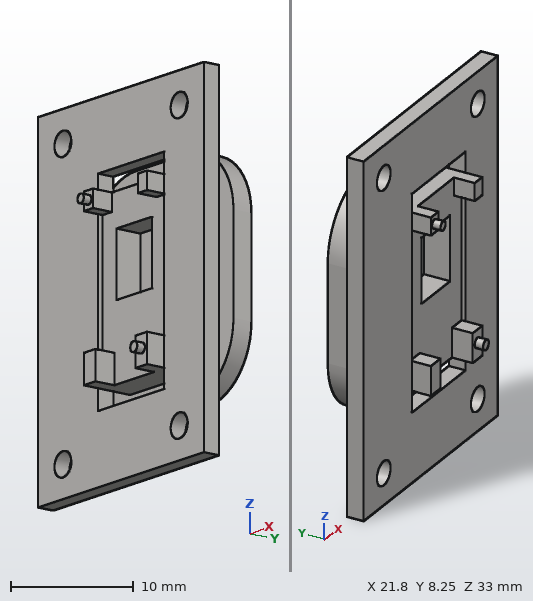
import cadquery as cq
import math

plate_width = 21.8
plate_height = 33.02
plate_thickness = 1.6
window_width = 8.65
window_height = 20.08
window_x = 1.32
hole_diameter = 2.2
hole_spacing_x = 15.25
hole_spacing_z = 27.1

switch_x = 1.35
block_width = 8.32
block_height = 16.38
block_front_y = 0.3
bezel_front_y = 3.17
bezel_thickness = 1.88
bezel_width = 18.82
bezel_height = 21.2
bezel_corner_radius = 6.0
bezel_back_y = bezel_front_y + bezel_thickness

pocket_width = 4.62
pocket_height = 6.05
pocket_z = 1.98
pocket_depth = 2.48

leg_front_y = -1.65
upper_leg_width = 1.22
upper_leg_height = 1.65
lower_leg_width = 1.55
lower_leg_height = 2.75
pin_length = 0.8
upper_pin_diameter = 0.83
upper_pin_inset = 0.6
upper_pin_drop = 0.83
lower_pin_diameter = 0.92
lower_pin_inset = 0.75
lower_pin_rise = 1.52

ridge_width = 3.95
ridge_base_height = 1.4
ridge_tip_height = 0.63
ridge_depth = 0.75
ridge_z = -3.6
dome_diameter = 1.2
dome_rise = 0.23


def box_between(width, height, front_y, back_y, x=0, z=0):
    """Box centred on x and z that spans front_y to back_y."""
    depth = back_y - front_y
    return cq.Workplane("XY").box(width, depth, height).translate((x, front_y + depth / 2, z))


def rod_between(diameter, front_y, back_y, x, z):
    """Round rod along Y that spans front_y to back_y."""
    start = cq.Vector(x, front_y, z)
    rod = cq.Solid.makeCylinder(diameter / 2, back_y - front_y, start, cq.Vector(0, 1, 0))
    return cq.Workplane(obj=rod)


def make_plate():
    """Flat plate with a window for the switch and four mounting holes."""
    plate = box_between(plate_width, plate_height, 0, plate_thickness)
    plate = plate.cut(box_between(window_width, window_height, 0, plate_thickness, x=window_x))
    for side_x in (-1, 1):
        for side_z in (-1, 1):
            hole_x = side_x * hole_spacing_x / 2
            hole_z = side_z * hole_spacing_z / 2
            plate = plate.cut(rod_between(hole_diameter, 0, plate_thickness, hole_x, hole_z))
    return plate


def make_bezel():
    """Plate with broadly rounded corners behind the block."""
    bezel = box_between(bezel_width, bezel_height, bezel_front_y, bezel_back_y, x=switch_x)
    return bezel.edges("|Y").fillet(bezel_corner_radius)


def make_block():
    """Block that passes through the window, with a pocket in its front."""
    block = box_between(block_width, block_height, block_front_y, bezel_front_y, x=switch_x)
    pocket_floor_y = block_front_y + pocket_depth
    return block.cut(
        box_between(pocket_width, pocket_height, block_front_y, pocket_floor_y, x=switch_x, z=pocket_z)
    )


def make_leg(side_x, side_z, width, height):
    """Leg flush with one corner of the block."""
    leg_x = switch_x + side_x * (block_width - width) / 2
    leg_z = side_z * (block_height - height) / 2
    return box_between(width, height, leg_front_y, block_front_y, x=leg_x, z=leg_z)


def make_pin(diameter, x, z):
    """Pin on the front end of a leg."""
    return rod_between(diameter, leg_front_y - pin_length, leg_front_y, x, z)


def make_ridge():
    """Ridge across the back of the bezel, tapered towards its tip."""
    ridge_tip_y = bezel_back_y + ridge_depth
    profile = [
        (bezel_back_y, ridge_z - ridge_base_height / 2),
        (ridge_tip_y, ridge_z - ridge_tip_height / 2),
        (ridge_tip_y, ridge_z + ridge_tip_height / 2),
        (bezel_back_y, ridge_z + ridge_base_height / 2),
    ]
    ridge = cq.Workplane("YZ").polyline(profile).close().extrude(ridge_width / 2, both=True)
    return ridge.translate((switch_x, 0, 0))


def make_dome():
    """Shallow spherical dome at the middle of the bezel back."""
    dome_radius = ((dome_diameter / 2) ** 2 + dome_rise**2) / (2 * dome_rise)
    centre_y = bezel_back_y + dome_rise - dome_radius
    mid_angle = math.asin(dome_diameter / 2 / dome_radius) / 2
    mid_point = (dome_radius * math.sin(mid_angle), centre_y + dome_radius * math.cos(mid_angle))
    dome = (
        cq.Workplane("XY")
        .moveTo(0, bezel_back_y)
        .lineTo(dome_diameter / 2, bezel_back_y)
        .threePointArc(mid_point, (0, bezel_back_y + dome_rise))
        .close()
        .revolve(360, (0, 0), (0, 1))
    )
    return dome.translate((switch_x, 0, 0))


def make_switch():
    """Switch: block, bezel, legs, pins, ridge and dome in one solid."""
    switch = make_block().union(make_bezel())
    for side_x in (-1, 1):
        switch = switch.union(make_leg(side_x, 1, upper_leg_width, upper_leg_height))
        switch = switch.union(make_leg(side_x, -1, lower_leg_width, lower_leg_height))

    upper_pin_x = switch_x - block_width / 2 + upper_pin_inset
    upper_pin_z = block_height / 2 - upper_pin_drop
    lower_pin_x = switch_x + block_width / 2 - lower_pin_inset
    lower_pin_z = -block_height / 2 + lower_pin_rise
    switch = switch.union(make_pin(upper_pin_diameter, upper_pin_x, upper_pin_z))
    switch = switch.union(make_pin(lower_pin_diameter, lower_pin_x, lower_pin_z))

    return switch.union(make_ridge()).union(make_dome())


plate = make_plate()
switch = make_switch()
result = cq.Compound.makeCompound([plate.val(), switch.val()])